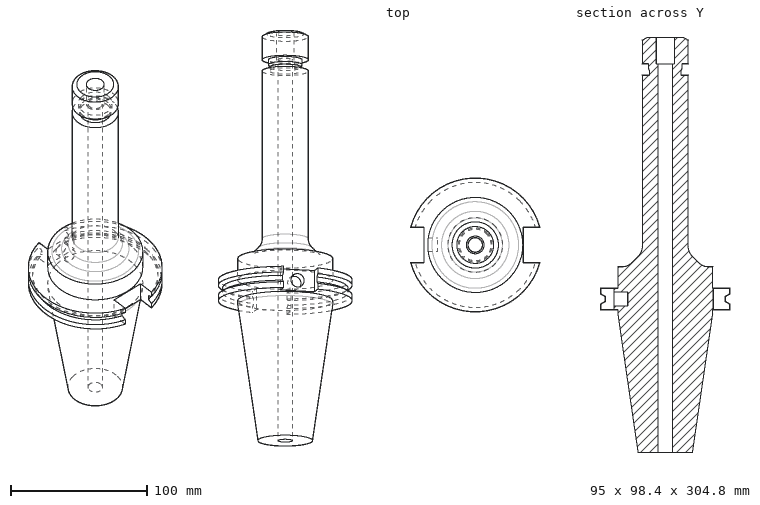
import cadquery as cq
import math

GAGE_DIAMETER = 69.85
TAPER_RATE = 7 / 24
TAPER_LENGTH = 101.6

FLANGE_DIAMETER = 98.425
FLANGE_OFFSET = 3.175
FLANGE_THICKNESS = 15.875
GROOVE_WIDTH = 7.3
GROOVE_DEPTH = 3.2
GROOVE_HALF_ANGLE = 30

SLOT_WIDTH = 25.9
SLOT_FLOOR_NEG_X = 37.7
SLOT_FLOOR_POS_X = 35.3
SLOT_HOLE_DIAMETER = 10.0
SLOT_HOLE_DEPTH = 10.0

BOSS_TOP_ABOVE_GAGE = 34.925
SHAFT_DIAMETER = 34.0
BLEND_RADIUS = 10.0
BLEND_ANGLE = 45
BLEND_HEIGHT = 14.8

OVERALL_LENGTH = 304.8
NUT_DIAMETER = SHAFT_DIAMETER
NUT_HEIGHT = 19.4
NUT_CHAMFER_HEIGHT = 2.0
NUT_CHAMFER_ANGLE = 30
COLLAR_DIAMETER = 24.9
COLLAR_HEIGHT = 3.7
NECK_DIAMETER = 23.2
NECK_TAPER_HEIGHT = 1.8
NECK_HEIGHT = 2.8

NUT_BORE_DIAMETER = 13.0
THROUGH_BORE_DIAMETER = 10.5

FLANGE_BOTTOM_Z = TAPER_LENGTH + FLANGE_OFFSET
FLANGE_TOP_Z = FLANGE_BOTTOM_Z + FLANGE_THICKNESS
FLANGE_MIDDLE_Z = (FLANGE_BOTTOM_Z + FLANGE_TOP_Z) / 2
BOSS_TOP_Z = TAPER_LENGTH + BOSS_TOP_ABOVE_GAGE
NUT_BOTTOM_Z = OVERALL_LENGTH - NUT_HEIGHT
COLLAR_BOTTOM_Z = NUT_BOTTOM_Z - COLLAR_HEIGHT
NECK_TOP_Z = COLLAR_BOTTOM_Z - NECK_TAPER_HEIGHT
SHAFT_TOP_Z = NECK_TOP_Z - NECK_HEIGHT


def make_shank():
    """Tapered shank, gage cylinder and boss, as one stepped solid of revolution."""
    gage_radius = GAGE_DIAMETER / 2
    small_radius = gage_radius - TAPER_LENGTH * TAPER_RATE / 2
    return (
        cq.Workplane("XZ")
        .lineTo(small_radius, 0)
        .lineTo(gage_radius, TAPER_LENGTH)
        .lineTo(gage_radius, BOSS_TOP_Z)
        .lineTo(0, BOSS_TOP_Z)
        .close()
        .revolve(360, (0, 0, 0), (0, 1, 0))
    )


def make_flange():
    """Flange disc with a V groove that has a flat floor around its rim."""
    radius = FLANGE_DIAMETER / 2
    floor_radius = radius - GROOVE_DEPTH
    half_rim = GROOVE_WIDTH / 2
    half_floor = half_rim - GROOVE_DEPTH * math.tan(math.radians(GROOVE_HALF_ANGLE))
    return (
        cq.Workplane("XZ")
        .moveTo(0, FLANGE_BOTTOM_Z)
        .lineTo(radius, FLANGE_BOTTOM_Z)
        .lineTo(radius, FLANGE_MIDDLE_Z - half_rim)
        .lineTo(floor_radius, FLANGE_MIDDLE_Z - half_floor)
        .lineTo(floor_radius, FLANGE_MIDDLE_Z + half_floor)
        .lineTo(radius, FLANGE_MIDDLE_Z + half_rim)
        .lineTo(radius, FLANGE_TOP_Z)
        .lineTo(0, FLANGE_TOP_Z)
        .close()
        .revolve(360, (0, 0, 0), (0, 1, 0))
    )


def make_slot(side, floor_distance):
    """Cutter for one drive slot; side is -1 or +1 along X."""
    length = FLANGE_DIAMETER
    return (
        cq.Workplane("XY")
        .workplane(offset=FLANGE_BOTTOM_Z)
        .center(side * (floor_distance + length / 2), 0)
        .rect(length, SLOT_WIDTH)
        .extrude(FLANGE_THICKNESS)
    )


def make_slot_hole():
    """Cutter for the blind round hole in the floor of the -X drive slot."""
    return (
        cq.Workplane("YZ")
        .workplane(offset=-SLOT_FLOOR_NEG_X)
        .center(0, FLANGE_MIDDLE_Z)
        .circle(SLOT_HOLE_DIAMETER / 2)
        .extrude(SLOT_HOLE_DEPTH)
    )


def make_extension():
    """Shaft, with a fillet-cone-fillet foot, carrying the neck and the nut."""
    shaft_radius = SHAFT_DIAMETER / 2
    nut_radius = NUT_DIAMETER / 2
    collar_radius = COLLAR_DIAMETER / 2
    neck_radius = NECK_DIAMETER / 2
    nut_face_radius = nut_radius - NUT_CHAMFER_HEIGHT / math.tan(math.radians(NUT_CHAMFER_ANGLE))
    nut_rim_z = OVERALL_LENGTH - NUT_CHAMFER_HEIGHT

    angle = math.radians(BLEND_ANGLE)
    long_leg = BLEND_RADIUS * math.sin(angle)
    short_leg = BLEND_RADIUS * (1 - math.cos(angle))
    blend_top_z = BOSS_TOP_Z + BLEND_HEIGHT
    cone_top = (shaft_radius + short_leg, blend_top_z - long_leg)
    cone_bottom_z = BOSS_TOP_Z + short_leg
    cone_bottom = (cone_top[0] + (cone_top[1] - cone_bottom_z) / math.tan(angle), cone_bottom_z)
    foot_radius = cone_bottom[0] + long_leg

    return (
        cq.Workplane("XZ")
        .moveTo(0, BOSS_TOP_Z)
        .lineTo(foot_radius, BOSS_TOP_Z)
        .radiusArc(cone_bottom, BLEND_RADIUS)
        .lineTo(*cone_top)
        .radiusArc((shaft_radius, blend_top_z), BLEND_RADIUS)
        .lineTo(shaft_radius, SHAFT_TOP_Z)
        .lineTo(neck_radius, SHAFT_TOP_Z)
        .lineTo(neck_radius, NECK_TOP_Z)
        .lineTo(collar_radius, COLLAR_BOTTOM_Z)
        .lineTo(collar_radius, NUT_BOTTOM_Z)
        .lineTo(nut_radius, NUT_BOTTOM_Z)
        .lineTo(nut_radius, nut_rim_z)
        .lineTo(nut_face_radius, OVERALL_LENGTH)
        .lineTo(0, OVERALL_LENGTH)
        .close()
        .revolve(360, (0, 0, 0), (0, 1, 0))
    )


def make_bores():
    """Cutter for the through bore and the wider bore inside the nut."""
    through_bore = cq.Workplane("XY").circle(THROUGH_BORE_DIAMETER / 2).extrude(OVERALL_LENGTH)
    nut_bore = (
        cq.Workplane("XY")
        .workplane(offset=NUT_BOTTOM_Z)
        .circle(NUT_BORE_DIAMETER / 2)
        .extrude(NUT_HEIGHT)
    )
    return through_bore.union(nut_bore)


slots = make_slot(-1, SLOT_FLOOR_NEG_X).union(make_slot(1, SLOT_FLOOR_POS_X))

result = (
    make_flange()
    .cut(slots)
    .union(make_shank())
    .union(make_extension())
    .cut(make_slot_hole())
    .cut(make_bores())
)